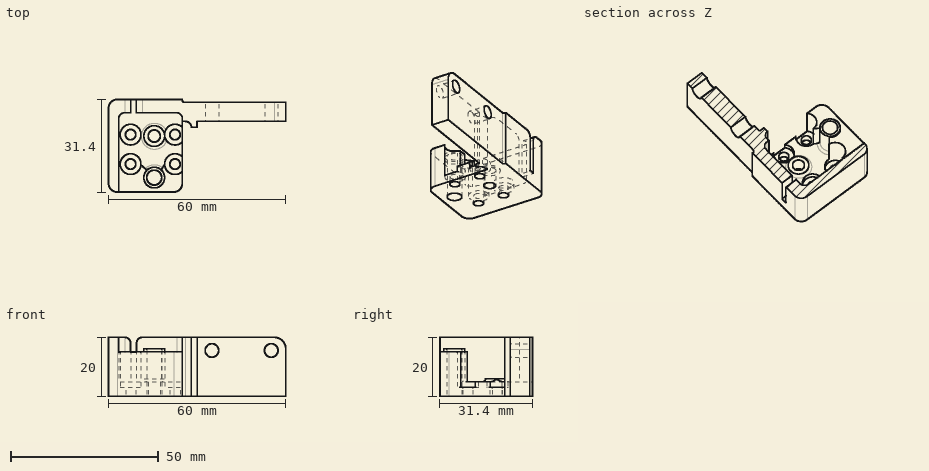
import cadquery as cq

length = 60.0
depth = 31.4
height = 20.0

housing_width = 25.0
floor_height = 5.0
block_height = 15.0
left_wall = 3.5
back_wall = 4.55
outer_radius = 3.0
inner_radius = 2.0
pocket_back = depth - back_wall

arm_front = 23.9
arm_back = depth - 0.95
step_radius = 0.6
arm_end_radius = 4.0
hook_left = 28.0
hook_right = 30.0
hook_tip = arm_front - inner_radius
arm_hole_diameter = 4.5
arm_hole_places = [(35.0, 15.5), (55.0, 15.5)]

slot_left = 7.5
slot_right = 9.5

screw_diameter = 3.4
counterbore_diameter = 7.0
counterbore_depth = 2.0
screw_left = 7.5
screw_right = 22.5
screw_front = 9.5
screw_back = 19.45

boss_x = 15.5
boss_diameter = 7.0
foot_radius = 0.9
boss_rise = 1.0
front_boss_y = 4.9
back_boss_y = 18.95
front_boss_top = block_height + boss_rise
front_bore_diameter = 5.0
back_bore_diameter = 4.0

notch_left = 10.85
notch_right = 18.95
notch_back = 9.35
notch_bottom_left = 12.95
notch_bottom_right = 17.8
notch_bottom = 7.45


def cylinder(x, y, bottom, top, diameter):
    """Upright cylinder between two heights."""
    return cq.Workplane("XY", origin=(x, y, bottom)).circle(diameter / 2).extrude(top - bottom)


def make_housing():
    """Rounded housing, hollowed above its floor and open to the front and right."""
    body = cq.Workplane("XY").rect(housing_width, depth, centered=False).extrude(height)
    body = body.edges("|Z and (<X or <Y)").fillet(outer_radius)
    pocket = (
        cq.Workplane("XY", origin=(left_wall, 0, floor_height))
        .rect(housing_width - left_wall, pocket_back, centered=False)
        .extrude(height - floor_height)
        .edges("|Z and >Y")
        .fillet(inner_radius)
    )
    return body.cut(pocket)


def make_floor_block():
    """Raised front block that ends in a V-shaped notch around the boss."""
    return (
        cq.Workplane("XY")
        .moveTo(left_wall, 0)
        .lineTo(housing_width - outer_radius, 0)
        .radiusArc((housing_width, outer_radius), -outer_radius)
        .lineTo(housing_width, notch_back)
        .lineTo(notch_right, notch_back)
        .lineTo(notch_bottom_right, notch_bottom)
        .lineTo(boss_x, front_boss_y)
        .lineTo(notch_bottom_left, notch_bottom)
        .lineTo(notch_left, notch_back)
        .lineTo(left_wall, notch_back)
        .close()
        .extrude(block_height)
    )


def make_arm():
    """Long arm with a rounded step at the back and a hook at the front."""
    arm = (
        cq.Workplane("XY")
        .moveTo(housing_width, arm_front)
        .lineTo(hook_left - inner_radius, arm_front)
        .radiusArc((hook_left, hook_tip), inner_radius)
        .lineTo(hook_right, hook_tip)
        .lineTo(hook_right, arm_front)
        .lineTo(length, arm_front)
        .lineTo(length, arm_back)
        .lineTo(housing_width + step_radius, arm_back)
        .radiusArc((housing_width, arm_back + step_radius), step_radius)
        .close()
        .extrude(height)
        .edges("|Y and >X and >Z")
        .fillet(arm_end_radius)
    )
    holes = (
        cq.Workplane("XZ")
        .pushPoints(arm_hole_places)
        .circle(arm_hole_diameter / 2)
        .extrude(-depth)
    )
    return arm.cut(holes)


def make_slot():
    """Slot cutter through the back wall, flaring into rounded upper edges."""
    return (
        cq.Workplane("XZ", origin=(0, depth, 0))
        .moveTo(slot_left, floor_height)
        .lineTo(slot_right, floor_height)
        .lineTo(slot_right, height - inner_radius)
        .radiusArc((slot_right + inner_radius, height), inner_radius)
        .lineTo(slot_left - inner_radius, height)
        .radiusArc((slot_left, height - inner_radius), inner_radius)
        .close()
        .extrude(back_wall)
    )


def make_boss(y, top):
    """Round boss that blends into the floor."""
    boss_radius = boss_diameter / 2
    foot = (
        cq.Workplane("XZ", origin=(boss_x, y, floor_height))
        .lineTo(boss_radius + foot_radius, 0)
        .radiusArc((boss_radius, foot_radius), foot_radius)
        .lineTo(0, foot_radius)
        .close()
        .revolve(360, (0, 0, 0), (0, 1, 0))
    )
    return foot.union(cylinder(boss_x, y, 0, top, boss_diameter))


result = make_housing().union(make_arm()).cut(make_slot())
result = result.union(make_floor_block())
result = result.union(make_boss(front_boss_y, front_boss_top))
result = result.union(make_boss(back_boss_y, floor_height + boss_rise))

for screw_x in (screw_left, screw_right):
    for screw_y in (screw_front, screw_back):
        seat = floor_height - counterbore_depth
        result = result.cut(cylinder(screw_x, screw_y, seat, height, counterbore_diameter))
        result = result.cut(cylinder(screw_x, screw_y, 0, height, screw_diameter))

result = result.cut(cylinder(boss_x, front_boss_y, 0, height, front_bore_diameter))
result = result.cut(cylinder(boss_x, back_boss_y, 0, height, back_bore_diameter))